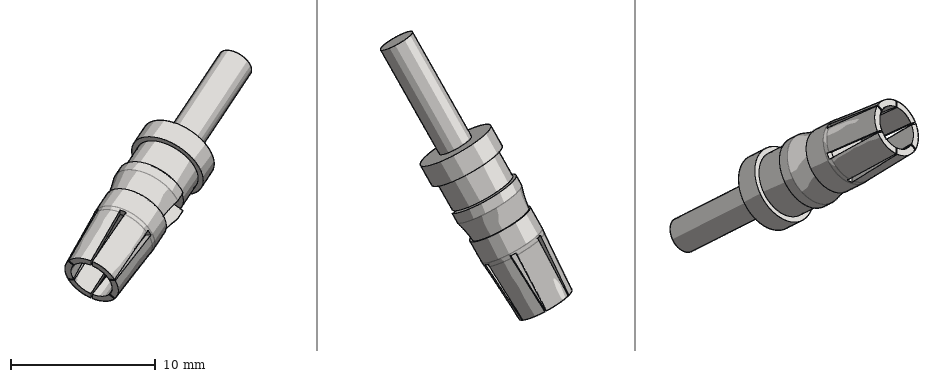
import cadquery as cq
import math

finger_cone_end = 4.5
slot_depth = 4.68
socket_depth = 4.83
socket_barrel_end = 6.53
clip_cone_end = 8.18
clip_end = 8.97
rear_barrel_start = 9.05
flange_start = 11.25
flange_end = 12.9
total_length = 21.35

tip_radius = 2.1
barrel_radius = 4.8 / 2
finger_root_radius = 2.37
core_radius = 3.0 / 2
flange_radius = 5.6 / 2
pin_radius = 2.55 / 2
bore_radius = 3.8 / 2
finger_wall = 0.5
tip_bore_radius = tip_radius - finger_wall

clip_radius = 2.63
clip_throat_radius = 2.28
clip_waist_radius = 2.41
clip_gap_half_angle = 22.5

slot_count = 6
slot_root_width = 0.45
slot_tip_width = 0.1


def revolve_about_y(profile):
    return profile.close().revolve(360, (0, 0, 0), (0, 1, 0))


def make_body():
    """Pin, flange, barrels and necked core as one turned profile."""
    blend_mid_y = (finger_cone_end + socket_depth) / 2
    blend_mid_radius = barrel_radius - (barrel_radius - finger_root_radius) / 4
    return revolve_about_y(
        cq.Workplane("XY")
        .lineTo(tip_radius, 0)
        .lineTo(finger_root_radius, finger_cone_end)
        .threePointArc((blend_mid_radius, blend_mid_y), (barrel_radius, socket_depth))
        .lineTo(barrel_radius, socket_barrel_end)
        .lineTo(core_radius, socket_barrel_end)
        .lineTo(core_radius, rear_barrel_start)
        .lineTo(barrel_radius, rear_barrel_start)
        .lineTo(barrel_radius, flange_start)
        .lineTo(flange_radius, flange_start)
        .lineTo(flange_radius, flange_end)
        .lineTo(pin_radius, flange_end)
        .lineTo(pin_radius, total_length)
        .lineTo(0, total_length)
    )


def make_socket_bore():
    """Blind bore that narrows toward the tip."""
    return revolve_about_y(
        cq.Workplane("XY")
        .lineTo(tip_bore_radius, 0)
        .lineTo(bore_radius, finger_cone_end)
        .lineTo(bore_radius, socket_depth)
        .lineTo(0, socket_depth)
    )


def make_finger_slot(angle):
    """Slot on the +Z side, turned about Y by the given angle."""
    return (
        cq.Workplane("XY")
        .moveTo(-slot_tip_width / 2, 0)
        .lineTo(slot_tip_width / 2, 0)
        .lineTo(slot_root_width / 2, slot_depth)
        .lineTo(-slot_root_width / 2, slot_depth)
        .close()
        .extrude(flange_radius)
        .rotate((0, 0, 0), (0, 1, 0), angle)
    )


def make_clip():
    """Flared ring with a wedge-shaped opening on the +X side."""
    ring = revolve_about_y(
        cq.Workplane("XY")
        .moveTo(core_radius, socket_barrel_end)
        .lineTo(clip_throat_radius, socket_barrel_end)
        .threePointArc(
            (clip_waist_radius, (socket_barrel_end + clip_cone_end) / 2),
            (clip_radius, clip_cone_end),
        )
        .lineTo(clip_radius, clip_end)
        .lineTo(core_radius, clip_end)
    )
    wedge_reach = 2 * clip_radius
    wedge_half_height = wedge_reach * math.tan(math.radians(clip_gap_half_angle))
    opening = (
        cq.Workplane("XZ", origin=(0, clip_end, 0))
        .lineTo(wedge_reach, wedge_half_height)
        .lineTo(wedge_reach, -wedge_half_height)
        .close()
        .extrude(clip_end - socket_barrel_end)
    )
    return ring.cut(opening)


result = make_body().cut(make_socket_bore())
for slot_index in range(slot_count):
    result = result.cut(make_finger_slot(slot_index * 360 / slot_count))
result = result.union(make_clip())